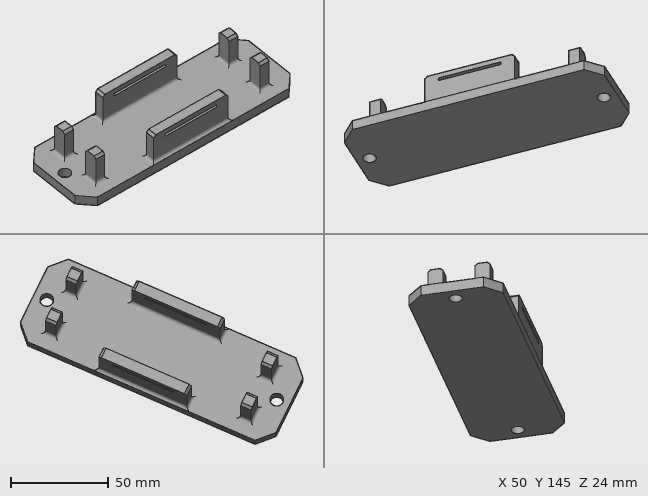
import cadquery as cq

plate_width = 50.0
plate_length = 145.0
plate_thickness = 6.0
corner_cut_x = 8.4
corner_cut_y = 8.0
hole_diameter = 7.0
hole_offset_y = 65.2

total_height = 24.0
cove_radius = 1.7
top_chamfer = 1.5

post_width = 8.1
post_depth = 6.0
post_offset_x = 12.5
post_offset_y = 55.4

wall_thickness = 5.8
wall_length = 50.0
wall_offset_x = 20.3

slot_length = 35.0
slot_height = 1.7
slot_below_top = 3.9


def make_plate():
    half_x = plate_width / 2
    half_y = plate_length / 2
    flat_x = half_x - corner_cut_x
    flat_y = half_y - corner_cut_y
    outline = [
        (-flat_x, -half_y), (flat_x, -half_y), (half_x, -flat_y), (half_x, flat_y),
        (flat_x, half_y), (-flat_x, half_y), (-half_x, flat_y), (-half_x, -flat_y),
    ]
    plate = cq.Workplane("XY").polyline(outline).close().extrude(plate_thickness)
    holes = (
        cq.Workplane("XY")
        .pushPoints([(0, -hole_offset_y), (0, hole_offset_y)])
        .circle(hole_diameter / 2)
        .extrude(plate_thickness)
    )
    return plate.cut(holes)


def coved_profile(plane, width, depth):
    """Upright on the plate top, extruded both ways with a concave cove at each foot."""
    half = width / 2
    foot = half + cove_radius
    shoulder = plate_thickness + cove_radius
    arc_inset = cove_radius * (1 - 0.5 ** 0.5)
    return (
        cq.Workplane(plane)
        .moveTo(-foot, plate_thickness)
        .lineTo(foot, plate_thickness)
        .threePointArc((half + arc_inset, plate_thickness + arc_inset), (half, shoulder))
        .lineTo(half, total_height)
        .lineTo(-half, total_height)
        .lineTo(-half, shoulder)
        .threePointArc((-half - arc_inset, plate_thickness + arc_inset), (-foot, plate_thickness))
        .close()
        .extrude(depth / 2 + cove_radius, both=True)
    )


def make_upright(size_x, size_y, chamfered_edges):
    upright = coved_profile("XZ", size_x, size_y).intersect(coved_profile("YZ", size_y, size_x))
    return upright.faces(">Z").edges(chamfered_edges).chamfer(top_chamfer)


def make_wall():
    wall = make_upright(wall_thickness, wall_length, "|X")
    slot = (
        cq.Workplane("YZ")
        .center(0, total_height - slot_below_top)
        .slot2D(slot_length, slot_height)
        .extrude(wall_thickness, both=True)
    )
    return wall.cut(slot)


result = make_plate()
post = make_upright(post_width, post_depth, "|Y")
wall = make_wall()
for side in (-1, 1):
    result = result.union(wall.translate((side * wall_offset_x, 0, 0)))
    for end in (-1, 1):
        result = result.union(post.translate((side * post_offset_x, end * post_offset_y, 0)))